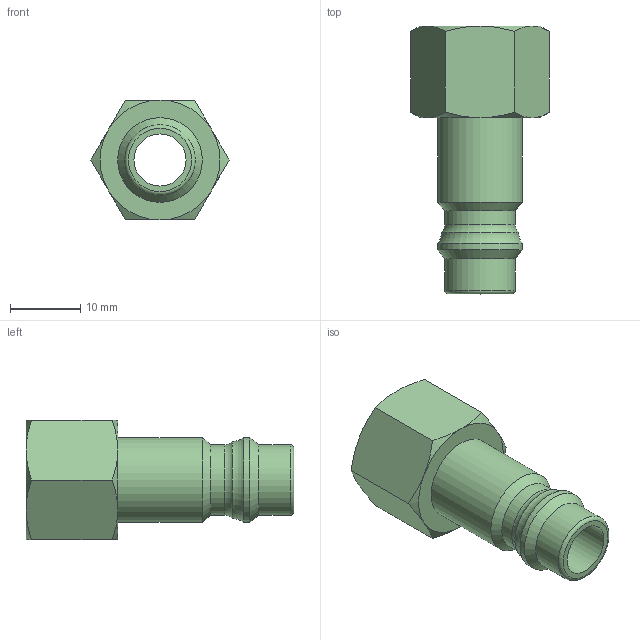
import cadquery as cq
import math


total_length = 38.0
head_length = 13.0
head_sides = 6
across_flats = 17.0
head_chamfer_angle = 30.0

body_diameter = 12.0
neck_diameter = 10.0
ridge_diameter = 10.9
bore_diameter = 7.4

tip_end = 5.0
collar_start = 6.25
collar_end = 7.15
ridge_position = 8.75
neck_start = 9.8
neck_end = 11.8
body_start = 13.0

tip_rounding = 0.5

across_corners = across_flats / math.cos(math.pi / head_sides)
head_start = total_length - head_length
body_radius = body_diameter / 2
neck_radius = neck_diameter / 2
ridge_radius = ridge_diameter / 2


def tangent_arc_radius(length, rise):
    """Radius of an arc that starts axially and climbs by rise over length."""
    return (length**2 + rise**2) / (2 * rise)


def make_head():
    """Hexagonal prism with a conical chamfer on the corners at both ends."""
    prism = (
        cq.Workplane("XZ", origin=(0, total_length, 0))
        .polygon(head_sides, across_corners)
        .extrude(head_length)
    )
    face_radius = across_flats / 2
    corner_radius = across_corners / 2
    chamfer_depth = (corner_radius - face_radius) * math.tan(math.radians(head_chamfer_angle))
    envelope = (
        cq.Workplane("XY")
        .moveTo(0, head_start)
        .lineTo(face_radius, head_start)
        .lineTo(corner_radius, head_start + chamfer_depth)
        .lineTo(corner_radius, total_length - chamfer_depth)
        .lineTo(face_radius, total_length)
        .lineTo(0, total_length)
        .close()
        .revolve(360, (0, 0, 0), (0, 1, 0))
    )
    return prism.intersect(envelope)


def make_shank():
    """Revolved shank with the rounded tip, locking collar, ridge, neck and body."""
    neck_fillet_radius = tangent_arc_radius(neck_start - ridge_position, ridge_radius - neck_radius)
    collar_fillet_radius = tangent_arc_radius(ridge_position - collar_end, body_radius - ridge_radius)
    return (
        cq.Workplane("XY")
        .moveTo(0, head_start)
        .lineTo(body_radius, head_start)
        .lineTo(body_radius, body_start)
        .lineTo(neck_radius, neck_end)
        .lineTo(neck_radius, neck_start)
        .radiusArc((ridge_radius, ridge_position), -neck_fillet_radius)
        .radiusArc((body_radius, collar_end), -collar_fillet_radius)
        .lineTo(body_radius, collar_start)
        .lineTo(neck_radius, tip_end)
        .lineTo(neck_radius, tip_rounding)
        .radiusArc((neck_radius - tip_rounding, 0), tip_rounding)
        .lineTo(0, 0)
        .close()
        .revolve(360, (0, 0, 0), (0, 1, 0))
    )


def make_bore():
    """Cylinder that opens the part from end to end."""
    return (
        cq.Workplane("XZ", origin=(0, total_length, 0))
        .circle(bore_diameter / 2)
        .extrude(total_length)
    )


result = make_head().union(make_shank()).cut(make_bore())